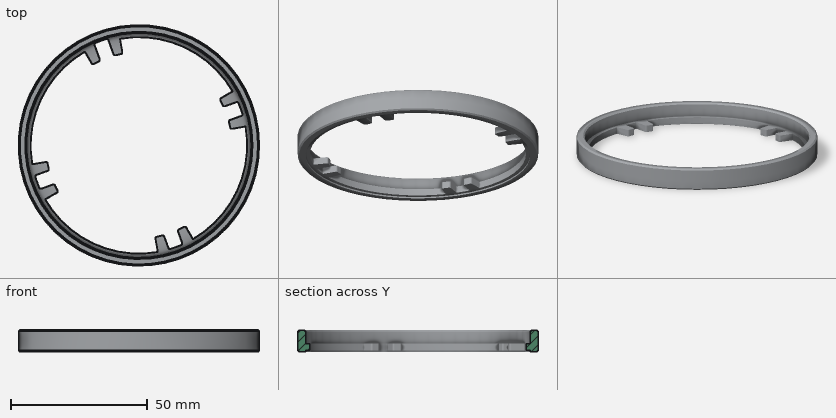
import cadquery as cq
import math

outer_radius = 44.0
height = 8.0
rim_chamfer = 0.5
bore_radius = 82.1 / 2
bore_chamfer = 0.5

ledge_radius = 39.5
ledge_bottom = 0.5
ledge_thickness = 2.5
ledge_top = ledge_bottom + ledge_thickness

pair_count = 4
first_pair_angle = 20.0
pair_half_angle = 10.0
tab_tip_radius = 34.0
tip_fillet = 0.7

notch_half_width = 2.6
notch_fillet = 0.5
shallow_floor_radius = ledge_radius
deep_floor_radius = 40.7
deep_notch_pair = 1


def disc(radius, bottom, top):
    """Solid disc around Z between two heights."""
    return cq.Workplane("XY").workplane(offset=bottom).circle(radius).extrude(top - bottom)


def make_ring():
    """Ring with chamfered rims and a smooth bore."""
    ring = disc(outer_radius, 0, height).edges().chamfer(rim_chamfer)
    ring = ring.cut(disc(bore_radius, 0, height))
    mouth = ring.faces(">Z").edges(cq.selectors.RadiusNthSelector(0))
    return mouth.chamfer(bore_chamfer)


def make_ledge():
    """Flat band that reaches inward from the ring wall."""
    wall_middle = (bore_radius + outer_radius) / 2
    band = disc(wall_middle, ledge_bottom, ledge_top)
    return band.cut(disc(ledge_radius, ledge_bottom, ledge_top))


def make_tab_block():
    """Sector centred on +X, from the tab tips out into the ledge."""
    spread = math.radians(pair_half_angle)
    root_radius = bore_radius

    def at(radius, angle):
        return (radius * math.cos(angle), radius * math.sin(angle))

    return (
        cq.Workplane("XY")
        .workplane(offset=ledge_bottom)
        .moveTo(*at(tab_tip_radius, -spread))
        .lineTo(*at(root_radius, -spread))
        .threePointArc(at(root_radius, 0), at(root_radius, spread))
        .lineTo(*at(tab_tip_radius, spread))
        .threePointArc(at(tab_tip_radius, 0), at(tab_tip_radius, -spread))
        .close()
        .extrude(ledge_thickness)
    )


def make_notch(floor_radius):
    """Slot along +X whose floor follows the ring, with rounded floor corners."""
    inner_end = tab_tip_radius - tip_fillet
    slot = (
        cq.Workplane("XY")
        .workplane(offset=ledge_bottom)
        .center((inner_end + outer_radius) / 2, 0)
        .rect(outer_radius - inner_end, 2 * notch_half_width)
        .extrude(ledge_thickness)
    )
    notch = slot.intersect(disc(floor_radius, ledge_bottom, ledge_top))
    return notch.edges("|Z").edges(">X").fillet(notch_fillet)


def make_tab_pair(notch):
    """Two tabs with rounded tips, made by notching one sector."""
    tabs = make_tab_block().cut(notch)
    tip_reach = (tab_tip_radius + ledge_radius) / 2
    tip_zone = cq.selectors.BoxSelector(
        (0, -outer_radius, 0),
        (tip_reach, outer_radius, height),
    )
    return tabs.edges("|Z").edges(tip_zone).fillet(tip_fillet)


result = make_ring().union(make_ledge())
for pair in range(pair_count):
    floor_radius = deep_floor_radius if pair == deep_notch_pair else shallow_floor_radius
    pair_notch = make_notch(floor_radius)
    pair_tabs = make_tab_pair(pair_notch)
    angle = first_pair_angle + pair * 360 / pair_count
    result = result.union(pair_tabs.rotate((0, 0, 0), (0, 0, 1), angle))
    result = result.cut(pair_notch.rotate((0, 0, 0), (0, 0, 1), angle))